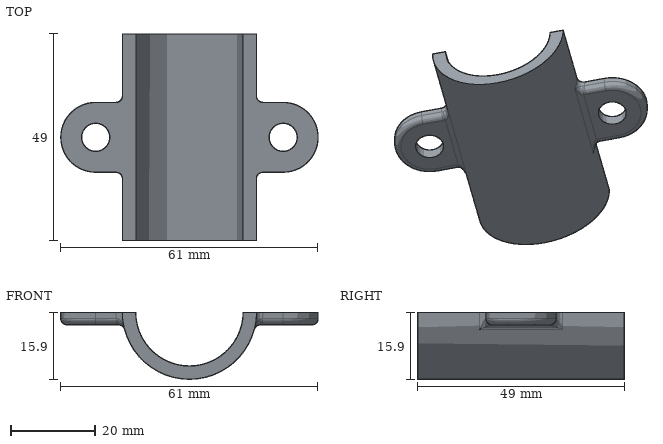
import cadquery as cq
import math

saddle_length = 49.0
outer_radius = 15.9
inner_radius = 12.7

hole_diameter = 6.6
hole_rim = 5.0
lug_radius = hole_diameter / 2 + hole_rim
lug_thickness = 3.0
overall_width = 61.01
hole_offset = overall_width / 2 - lug_radius
rim_radius = 1.5
root_radius = 1.5

pick_margin = 0.1


def half_cylinder(radius):
    """Solid lower half of a cylinder along Y."""
    return (
        cq.Workplane("XZ")
        .moveTo(-radius, 0)
        .threePointArc((0, -radius), (radius, 0))
        .close()
        .extrude(saddle_length / 2, both=True)
    )


def lug_bar():
    """Round-ended bar across the saddle that forms both lugs."""
    return (
        cq.Workplane("XY")
        .slot2D(overall_width, 2 * lug_radius)
        .extrude(-lug_thickness)
    )


def mirrored_edges(body, x_min, x_max, y_reach, z_min, z_max):
    """Edges on both sides of the saddle whose centres lie in a box given for the +X side."""
    right_box = cq.selectors.BoxSelector((x_min, -y_reach, z_min), (x_max, y_reach, z_max))
    left_box = cq.selectors.BoxSelector((-x_max, -y_reach, z_min), (-x_min, y_reach, z_max))
    return body.edges(right_box + left_box)


def fillet_roots(body):
    """Fillet the sides and underside of each lug into the saddle's outer surface."""
    underside_x = math.sqrt(outer_radius**2 - lug_thickness**2)
    roots = mirrored_edges(
        body,
        underside_x - pick_margin,
        outer_radius + pick_margin,
        lug_radius + pick_margin,
        -lug_thickness - pick_margin,
        -pick_margin,
    )
    return roots.fillet(root_radius)


def fillet_rims(body):
    """Round the lower rim of each lug, out from where the root fillet ends."""
    rims = mirrored_edges(
        body,
        outer_radius + root_radius + pick_margin,
        hole_offset + lug_radius + pick_margin,
        lug_radius + pick_margin,
        -lug_thickness - pick_margin,
        -lug_thickness + pick_margin,
    )
    return rims.fillet(rim_radius)


def lug_holes():
    """Pair of pins that cut the screw holes through the lugs."""
    return (
        cq.Workplane("XY")
        .pushPoints([(-hole_offset, 0), (hole_offset, 0)])
        .circle(hole_diameter / 2)
        .extrude(-lug_thickness)
    )


body = half_cylinder(outer_radius).union(lug_bar())
body = fillet_roots(body)
body = fillet_rims(body)
result = body.cut(half_cylinder(inner_radius)).cut(lug_holes())